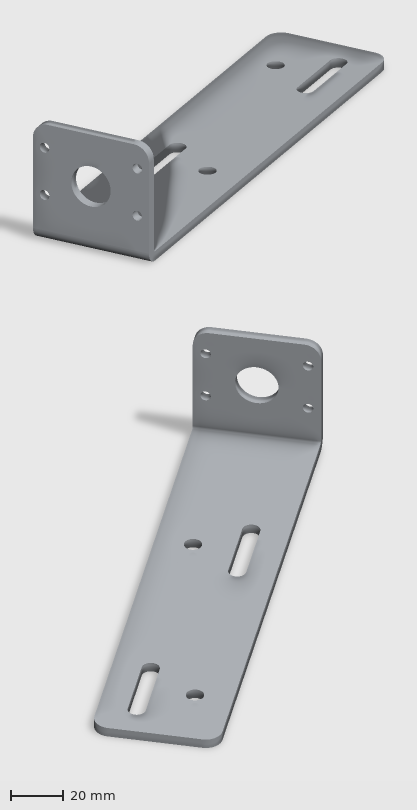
import cadquery as cq

width = 50.0
length = 200.0
height = 50.0
thickness = 4.0
inner_bend_radius = 1.0
outer_bend_radius = inner_bend_radius + thickness
corner_radius = 6.5

bore_diameter = 17.0
bore_height = 28.0
screw_hole_diameter = 4.13
screw_hole_spacing_x = 40.0
screw_hole_heights = (20.0, 40.0)

mount_width = 7.0
slot_length = 34.0
mount_offset_x = 10.0
station_spacing = 95.0
front_station_y = 77.5
rear_station_y = front_station_y + station_spacing


def make_bent_plate():
    """L-shaped side profile in the YZ plane, extruded across the width."""
    profile = (
        cq.Workplane("YZ")
        .moveTo(0, height)
        .lineTo(0, outer_bend_radius)
        .radiusArc((outer_bend_radius, 0), -outer_bend_radius)
        .lineTo(length, 0)
        .lineTo(length, thickness)
        .lineTo(outer_bend_radius, thickness)
        .radiusArc((thickness, outer_bend_radius), inner_bend_radius)
        .lineTo(thickness, height)
        .close()
    )
    return profile.extrude(width / 2, both=True)


def round_free_corners(body):
    """Round the two corners at the free end of each plate."""
    body = body.faces(">Z").edges("|Y").fillet(corner_radius)
    return body.faces(">Y").edges("|Z").fillet(corner_radius)


def cut_upright_holes(body):
    """Cut the bore and the screw holes through the upright plate along Y."""
    half_spacing = screw_hole_spacing_x / 2
    screw_points = [(x, z) for x in (-half_spacing, half_spacing) for z in screw_hole_heights]
    bore = cq.Workplane("XZ").center(0, bore_height).circle(bore_diameter / 2).extrude(-thickness)
    screws = (
        cq.Workplane("XZ").pushPoints(screw_points).circle(screw_hole_diameter / 2).extrude(-thickness)
    )
    return body.cut(bore).cut(screws)


def cut_mount_station(body, station_y, slot_side):
    """Cut a slot on one side (+1 or -1 in X) and a round hole on the other."""
    slot_x = slot_side * mount_offset_x
    slot = (
        cq.Workplane("XY").center(slot_x, station_y).slot2D(slot_length, mount_width, 90).extrude(thickness)
    )
    hole = cq.Workplane("XY").center(-slot_x, station_y).circle(mount_width / 2).extrude(thickness)
    return body.cut(slot).cut(hole)


result = round_free_corners(make_bent_plate())
result = cut_upright_holes(result)
for y_position, side in ((front_station_y, -1), (rear_station_y, 1)):
    result = cut_mount_station(result, y_position, side)